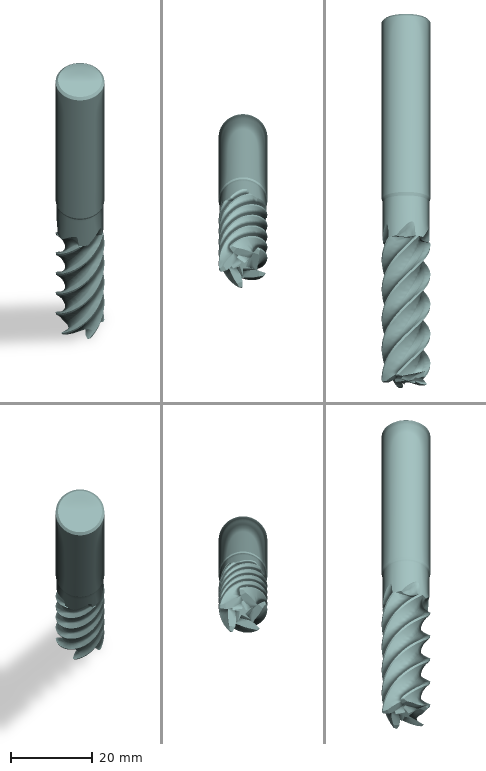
import cadquery as cq
import math

TOOL_LENGTH = 93.0
TOOL_RADIUS = 6.0

SHANK_END_CHAMFER = 0.6
NECK_RADIUS = 5.75
NECK_TOP = 46.2
SHOULDER_BOTTOM = 47.0

CUTTER_LENGTH = 36.0
FLUTE_COUNT = 5
FLUTE_PITCH = 360.0 / FLUTE_COUNT
HELIX_LEAD = 38.15
CORNER_RADIUS = 0.5
EDGE_ANGLE = 40.8

ROOT_RADIUS = 3.7
ROOT_END_RADIUS = 4.4
MARGIN_RADIUS = 5.9
MARGIN_ANGLE = 7.0
ROOT_START_ANGLE = FLUTE_PITCH - 28.0
ROOT_END_ANGLE = FLUTE_PITCH - 4.0

GASH_WIDTH = 4.0
GASH_LEAN = 1.6
GASH_TOP = 2.0
GASH_OUTER_RADIUS = 2.5
GASH_INNER_RADIUS = 0.8

RUNOUT_TOP = 39.5
RUNOUT_OUTER_RADIUS = 8.0
RUNOUT_BASE = {"back": -51.0, "root": -20.0, "rake": -1.0, "root_radius": 4.2}
RUNOUT_TIP = {"back": -18.0, "root": -10.0, "rake": -2.0, "root_radius": NECK_RADIUS}


def polar(radius, angle):
    """Point at a radius and an angle in degrees."""
    turn = math.radians(angle)
    return (radius * math.cos(turn), radius * math.sin(turn))


def helix_turn(height):
    """Rotation of the flutes, in degrees, over a height."""
    return 360.0 * height / HELIX_LEAD


def make_tooth_section():
    """Cross-section of all the teeth at Z = 0."""
    section = cq.Workplane("XY").moveTo(*polar(TOOL_RADIUS, EDGE_ANGLE))
    for tooth in range(FLUTE_COUNT):
        edge = EDGE_ANGLE + tooth * FLUTE_PITCH
        root_middle = edge + (ROOT_START_ANGLE + ROOT_END_ANGLE) / 2
        section = (
            section.lineTo(*polar(MARGIN_RADIUS, edge + MARGIN_ANGLE))
            .lineTo(*polar(ROOT_RADIUS, edge + ROOT_START_ANGLE))
            .threePointArc(
                polar(ROOT_RADIUS, root_middle),
                polar(ROOT_END_RADIUS, edge + ROOT_END_ANGLE),
            )
        )
        if tooth < FLUTE_COUNT - 1:
            section = section.lineTo(*polar(TOOL_RADIUS, edge + FLUTE_PITCH))
    return section.close()


def make_gash(edge):
    """Wedge along a cutting edge, tallest at the rake face and shallower near the centre."""
    side_shape = (
        cq.Workplane("XZ")
        .moveTo(GASH_INNER_RADIUS, 0)
        .lineTo(GASH_OUTER_RADIUS, GASH_TOP)
        .lineTo(TOOL_RADIUS, GASH_TOP)
        .lineTo(TOOL_RADIUS, 0)
        .close()
        .extrude(GASH_WIDTH + GASH_LEAN)
        .translate((0, GASH_LEAN, 0))
    )
    end_shape = (
        cq.Workplane("YZ")
        .lineTo(GASH_LEAN, GASH_TOP)
        .lineTo(-GASH_WIDTH, 0)
        .close()
        .extrude(TOOL_RADIUS)
    )
    return side_shape.intersect(end_shape).rotate((0, 0, 0), (0, 0, 1), edge)


def make_cutter():
    """Helical teeth with rounded corners and end gashes."""
    teeth = make_tooth_section().twistExtrude(CUTTER_LENGTH, helix_turn(CUTTER_LENGTH))
    envelope = (
        cq.Workplane("XY")
        .circle(TOOL_RADIUS)
        .extrude(CUTTER_LENGTH)
        .faces("<Z")
        .edges()
        .fillet(CORNER_RADIUS)
    )
    cutter = teeth.intersect(envelope)
    for tooth in range(FLUTE_COUNT):
        cutter = cutter.cut(make_gash(EDGE_ANGLE + tooth * FLUTE_PITCH))
    return cutter


def add_runout_section(workplane, size, edge):
    """Run-out cross-section: a curved floor, open towards the outside."""
    return (
        workplane.moveTo(*polar(TOOL_RADIUS, edge + size["back"]))
        .threePointArc(
            polar(size["root_radius"], edge + size["root"]),
            polar(TOOL_RADIUS, edge + size["rake"]),
        )
        .lineTo(*polar(RUNOUT_OUTER_RADIUS, edge + size["rake"]))
        .lineTo(*polar(RUNOUT_OUTER_RADIUS, edge + size["back"]))
        .close()
    )


def make_runout(edge):
    """Void that narrows and rises from the flute root to the neck surface."""
    base = cq.Workplane("XY").workplane(offset=CUTTER_LENGTH)
    base = add_runout_section(base, RUNOUT_BASE, edge)
    tip = base.workplane(offset=RUNOUT_TOP - CUTTER_LENGTH)
    return add_runout_section(tip, RUNOUT_TIP, edge).loft(ruled=True)


def make_shank():
    """Chamfered shank and neck, with the flutes running out into the neck."""
    shank = (
        cq.Workplane("XZ")
        .moveTo(0, CUTTER_LENGTH)
        .lineTo(NECK_RADIUS, CUTTER_LENGTH)
        .lineTo(NECK_RADIUS, NECK_TOP)
        .lineTo(TOOL_RADIUS, SHOULDER_BOTTOM)
        .lineTo(TOOL_RADIUS, TOOL_LENGTH - SHANK_END_CHAMFER)
        .lineTo(TOOL_RADIUS - SHANK_END_CHAMFER, TOOL_LENGTH)
        .lineTo(0, TOOL_LENGTH)
        .close()
        .revolve(360, (0, 0, 0), (0, 1, 0))
    )
    first_edge = EDGE_ANGLE + helix_turn(CUTTER_LENGTH)
    for flute in range(FLUTE_COUNT):
        shank = shank.cut(make_runout(first_edge + flute * FLUTE_PITCH))
    return shank


cutter = make_cutter()
shank = make_shank()
result = cq.Compound.makeCompound([cutter.val(), shank.val()])